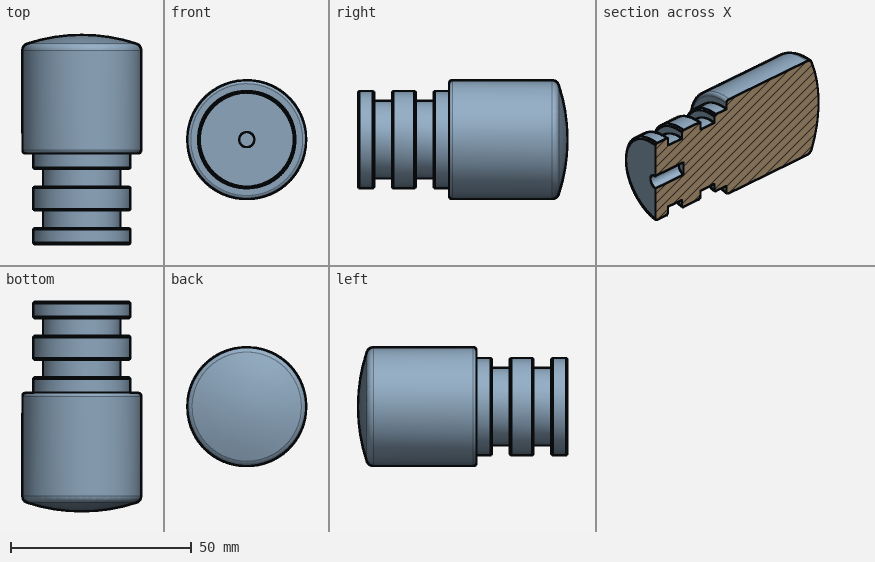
import cadquery as cq
import math


head_radius = 16.5
head_start = 25.2
total_length = 58.1
dome_radius = 48.0
dome_edge_fillet = 2.0
shoulder_fillet = 1.0

shank_radius = 13.5
shank_chamfer = 0.5
groove_radius = 10.8
groove_starts = (4.6, 16.1)
groove_width = 4.8

hole_diameter = 4.2
hole_depth = 10.0


def cylinder(radius, start, end):
    """Solid cylinder on the Y axis between two Y positions."""
    return cq.Workplane("XZ", origin=(0, start, 0)).circle(radius).extrude(start - end)


def make_head():
    """Cylinder closed by a spherical dome, rounded at both ends."""
    dome_centre = total_length - dome_radius
    dome_edge = dome_centre + math.sqrt(dome_radius**2 - head_radius**2)
    arc_mid_x = head_radius / 2
    arc_mid_y = dome_centre + math.sqrt(dome_radius**2 - arc_mid_x**2)
    head = (
        cq.Workplane("XY")
        .moveTo(0, head_start)
        .lineTo(head_radius, head_start)
        .lineTo(head_radius, dome_edge)
        .threePointArc((arc_mid_x, arc_mid_y), (0, total_length))
        .close()
        .revolve(360, (0, 0, 0), (0, 1, 0))
    )
    head = head.faces("<Y").edges().fillet(shoulder_fillet)
    dome_rim = cq.selectors.BoxSelector(
        (-head_radius, dome_edge - dome_edge_fillet / 2, -head_radius),
        (head_radius, dome_edge + dome_edge_fillet / 2, head_radius),
    )
    return head.edges("%CIRCLE").edges(dome_rim).fillet(dome_edge_fillet)


def make_shank():
    """Chamfered lands joined by a thinner core, which forms the groove floors."""
    shank = cylinder(groove_radius, 0, head_start)
    land_start = 0
    for groove_start in groove_starts:
        land = cylinder(shank_radius, land_start, groove_start)
        shank = shank.union(land.faces("<Y or >Y").edges().chamfer(shank_chamfer))
        land_start = groove_start + groove_width
    neck = cylinder(shank_radius, land_start, head_start)
    return shank.union(neck.faces("<Y").edges().chamfer(shank_chamfer))


result = make_head().union(make_shank()).cut(cylinder(hole_diameter / 2, 0, hole_depth))